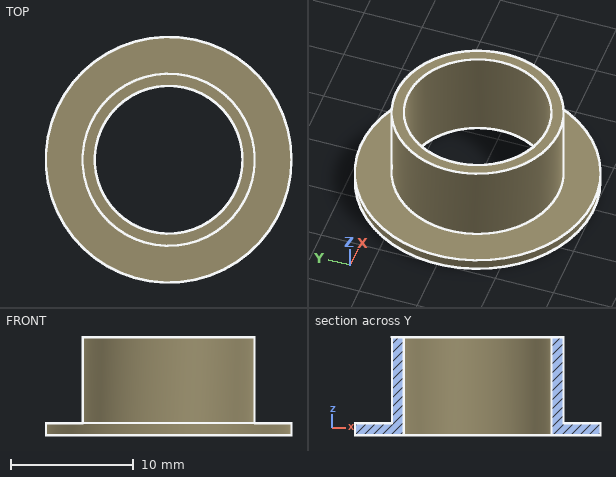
import cadquery as cq

flange_diameter = 20.0
bore_diameter = 12.0
wall_thickness = 1.0
flange_thickness = wall_thickness
total_height = 8.0

sleeve_diameter = bore_diameter + 2 * wall_thickness


def cylinder(diameter, height):
    """Solid cylinder on the Z axis, rising from the XY plane."""
    return cq.Workplane("XY").circle(diameter / 2).extrude(height)


flange = cylinder(flange_diameter, flange_thickness)
sleeve = cylinder(sleeve_diameter, total_height)
bore = cylinder(bore_diameter, total_height)

result = flange.union(sleeve).cut(bore)